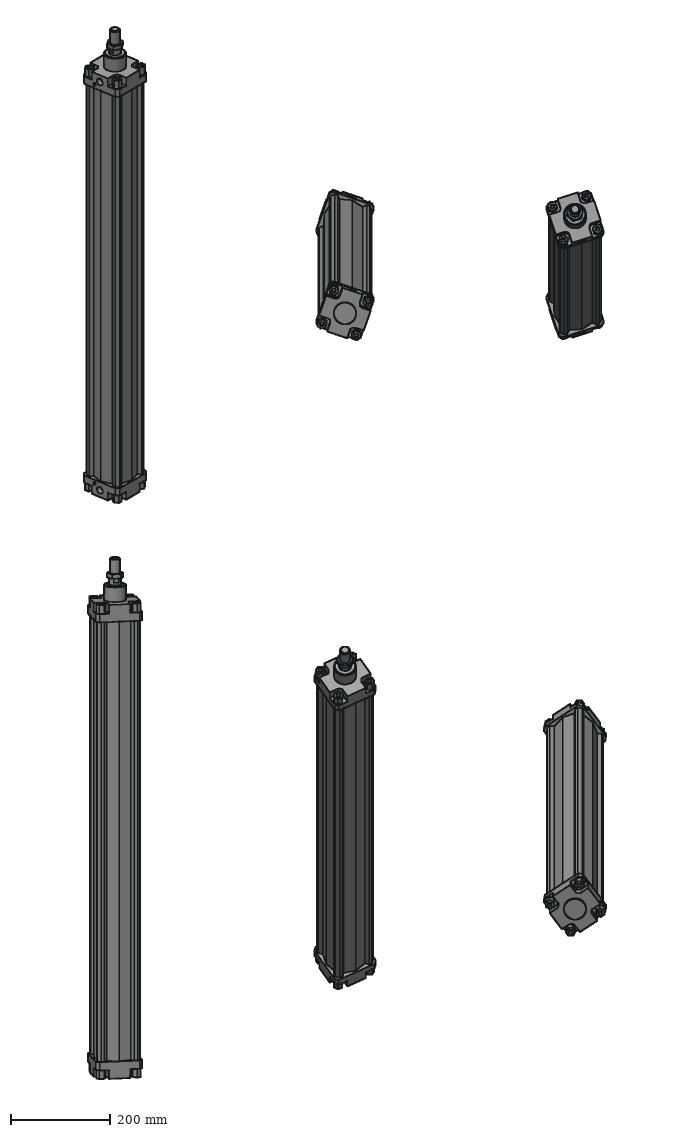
import cadquery as cq
import math

TOTAL_HEIGHT = 1068.0
BOSS_HEIGHT = 4.0
CAP_HEIGHT = 35.0
UPPER_CAP_TOP = 981.0
COLLAR_HEIGHT = 32.0

CAP_WIDTH = 95.0
CAP_CHAMFER = 6.0
COLLAR_DIAMETER = 45.0
COLLAR_CHAMFER = 2.0

POCKET_DEPTH = 18.0
POCKET_INNER_EDGE = 21.0
POCKET_FILLET = 9.0
TIE_ROD_OFFSET = 36.0
TIE_END_FLATS = 17.0
TIE_END_BORE = 9.0
TIE_END_BORE_DEPTH = 13.0
DRILL_POINT_ANGLE = 118.0
TIE_END_TURN = 30.0

PORT_DIAMETER = 15.0
PORT_DEPTH = 13.0
PORT_INSET = 16.0
SCREW_HOLE_DIAMETER = 6.5
SCREW_HOLE_DEPTH = 5.0
SCREW_HOLE_X = -14.0
SCREW_HOLE_INSET = 9.0

TUBE_HALF_WIDTH = 44.0
GROOVE_DEPTH = 6.0
RIDGE_FOOT = 25.0
CORNER_CHAMFER = 6.0

ROD_DIAMETER = 25.0
THREAD_DIAMETER = 20.0
THREAD_CHAMFER = 2.0
ROD_SHOULDER_Z = 1027.0
WRENCH_FLATS = 22.0
WRENCH_FLAT_LENGTH = 9.0

NUT_FLATS = 30.0
NUT_HEIGHT = 10.0
NUT_CHAMFER_ANGLE = 30.0

UPPER_CAP_BOTTOM = UPPER_CAP_TOP - CAP_HEIGHT
LOWER_CAP_TOP = BOSS_HEIGHT + CAP_HEIGHT
COLLAR_TOP = UPPER_CAP_TOP + COLLAR_HEIGHT
POCKET_FLOOR = CAP_HEIGHT - POCKET_DEPTH
ROD_BOTTOM = UPPER_CAP_TOP


def cylinder(diameter, bottom, top):
    return cq.Workplane("XY").workplane(offset=bottom).circle(diameter / 2).extrude(top - bottom)


def hexagon(across_flats, bottom, top):
    """Hexagonal prism on the Z axis with two of its corners on the X axis."""
    across_corners = across_flats / math.cos(math.pi / 6)
    return cq.Workplane("XY").workplane(offset=bottom).polygon(6, across_corners).extrude(top - bottom)


def drilled_hole(diameter, depth):
    """Blind hole with a conical drill point, entering the XY plane downwards."""
    radius = diameter / 2
    point = radius / math.tan(math.radians(DRILL_POINT_ANGLE / 2))
    half_section = [(0, 0), (radius, 0), (radius, -depth), (0, -depth - point)]
    return cq.Workplane("XZ").polyline(half_section).close().revolve(360, (0, 0), (0, 1))


def corner_pocket():
    """Pocket at the +X +Y corner, extruded upwards from Z = 0, with a rounded inner edge."""
    side = CAP_WIDTH / 2
    pocket = cq.Workplane("XY").rect(side, side, centered=False).extrude(POCKET_DEPTH)
    pocket = pocket.translate((POCKET_INNER_EDGE, POCKET_INNER_EDGE, 0))
    return pocket.edges("|Z and <X and <Y").fillet(POCKET_FILLET)


def tie_end():
    """Hexagonal tie-rod end standing on Z = 0, with a drilled hole in its top."""
    hole = drilled_hole(TIE_END_BORE, TIE_END_BORE_DEPTH).translate((0, 0, POCKET_DEPTH))
    return hexagon(TIE_END_FLATS, 0, POCKET_DEPTH).cut(hole)


def end_cap():
    """End cap with its tie-rod ends, standing on Z = 0 with its outer face up."""
    cap = cq.Workplane("XY").rect(CAP_WIDTH, CAP_WIDTH).extrude(CAP_HEIGHT)
    cap = cap.edges("|Z").chamfer(CAP_CHAMFER)
    for quarter in range(4):
        pocket = corner_pocket().translate((0, 0, POCKET_FLOOR))
        cap = cap.cut(pocket.rotate((0, 0, 0), (0, 0, 1), 90 * quarter))
    for side_x in (-1, 1):
        for side_y in (-1, 1):
            turn = 0 if side_x == side_y else TIE_END_TURN
            end = tie_end().rotate((0, 0, 0), (0, 0, 1), turn)
            cap = cap.union(end.translate((side_x * TIE_ROD_OFFSET, side_y * TIE_ROD_OFFSET, POCKET_FLOOR)))
    return cap


def front_hole(diameter, depth, x, z):
    """Round cutter going into the -Y side of a cap."""
    cutter = cylinder(diameter, -depth, 0).rotate((0, 0, 0), (1, 0, 0), 90)
    return cutter.translate((x, -CAP_WIDTH / 2, z))


def drilled_cap():
    port_z = CAP_HEIGHT - PORT_INSET
    cap = end_cap().cut(front_hole(PORT_DIAMETER, PORT_DEPTH, 0, port_z))
    return cap.cut(front_hole(SCREW_HOLE_DIAMETER, SCREW_HOLE_DEPTH, SCREW_HOLE_X, SCREW_HOLE_INSET))


def profile_tube():
    """Square profile with a shallow ridge between two 45-degree grooves on each side."""
    lobe_start = RIDGE_FOOT + GROOVE_DEPTH
    lobe_end = TUBE_HALF_WIDTH - CORNER_CHAMFER
    floor = TUBE_HALF_WIDTH - GROOVE_DEPTH
    half_side = [(RIDGE_FOOT, floor), (lobe_start, TUBE_HALF_WIDTH), (lobe_end, TUBE_HALF_WIDTH)]
    mirrored = [(-x, y) for x, y in reversed(half_side)]
    points = mirrored + [(0, TUBE_HALF_WIDTH)] + half_side
    outline = []
    for _ in range(4):
        outline += points
        points = [(y, -x) for x, y in points]
    tube = cq.Workplane("XY").workplane(offset=LOWER_CAP_TOP).polyline(outline).close()
    return tube.extrude(UPPER_CAP_BOTTOM - LOWER_CAP_TOP)


def make_housing():
    """Tube, both end caps, lower boss and rod collar in one piece."""
    upper_cap = drilled_cap().translate((0, 0, UPPER_CAP_BOTTOM))
    lower_cap = drilled_cap().mirror("XY").translate((0, 0, LOWER_CAP_TOP))
    boss = cylinder(COLLAR_DIAMETER, 0, BOSS_HEIGHT)
    collar = cylinder(COLLAR_DIAMETER, UPPER_CAP_TOP, COLLAR_TOP)
    collar = collar.faces(">Z").edges().chamfer(COLLAR_CHAMFER)
    housing = profile_tube().union(upper_cap).union(lower_cap).union(boss).union(collar)
    return housing.cut(cylinder(ROD_DIAMETER, ROD_BOTTOM, COLLAR_TOP))


def make_rod():
    """Rod with two wrench flats facing -Y and +Y and a thinner threaded end."""
    rod = cylinder(ROD_DIAMETER, ROD_BOTTOM, ROD_SHOULDER_Z)
    around_flats = cq.Workplane("XY").workplane(offset=ROD_SHOULDER_Z - WRENCH_FLAT_LENGTH)
    around_flats = around_flats.rect(2 * ROD_DIAMETER, 2 * ROD_DIAMETER).rect(2 * ROD_DIAMETER, WRENCH_FLATS)
    rod = rod.cut(around_flats.extrude(WRENCH_FLAT_LENGTH))
    thread = cylinder(THREAD_DIAMETER, ROD_SHOULDER_Z, TOTAL_HEIGHT)
    return rod.union(thread.faces(">Z").edges().chamfer(THREAD_CHAMFER))


def chamfer_envelope(across_flats, bottom, top):
    """Round body, coned at both ends, that trims the corners of a nut."""
    inner = across_flats / 2
    outer = inner / math.cos(math.pi / 6)
    drop = (outer - inner) * math.tan(math.radians(NUT_CHAMFER_ANGLE))
    half_section = [(0, bottom), (inner, bottom), (outer, bottom + drop)]
    half_section += [(outer, top - drop), (inner, top), (0, top)]
    return cq.Workplane("XZ").polyline(half_section).close().revolve(360, (0, 0), (0, 1))


def make_nut():
    """Lock nut resting on the shoulder of the rod."""
    bottom = ROD_SHOULDER_Z
    top = bottom + NUT_HEIGHT
    nut = hexagon(NUT_FLATS, bottom, top).intersect(chamfer_envelope(NUT_FLATS, bottom, top))
    return nut.cut(cylinder(THREAD_DIAMETER, bottom, top))


housing = make_housing()
rod = make_rod()
nut = make_nut()

result = cq.Compound.makeCompound([body.solids().val() for body in (housing, rod, nut)])